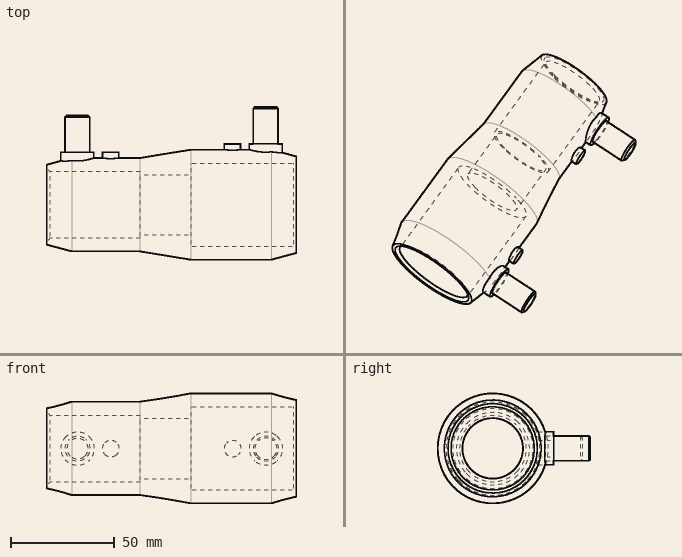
import cadquery as cq
import math

total_length = 120.0
small_radius = 22.5
large_radius = 26.5
wall = 6.5
bevel_length = 12.0
bevel_angle = 15.0
transition_start = 44.7
transition_end = 69.2

stop_radius = 14.5
mouth_chamfer = 1.5

stud_inset = 14.7
stud_radius = 6.0
stud_height = 20.5
small_stud_chamfer = 1.0
large_stud_chamfer = 0.75
collar_radius = 8.0
collar_height = 2.75
pin_radius = 4.0
pin_spacing = 16.0

bevel_drop = bevel_length * math.tan(math.radians(bevel_angle))
small_bore = small_radius - wall
large_bore = large_radius - wall


def revolve_about_x(profile):
    """Revolve a closed (x, y) profile a full turn about the X axis."""
    return cq.Workplane("XY").polyline(profile).close().revolve(360, (0, 0, 0), (1, 0, 0))


def sleeve_body():
    return revolve_about_x([
        (0, 0),
        (0, -(small_radius - bevel_drop)),
        (bevel_length, -small_radius),
        (transition_start, -small_radius),
        (transition_end, -large_radius),
        (total_length - bevel_length, -large_radius),
        (total_length, -(large_radius - bevel_drop)),
        (total_length, 0),
    ])


def bore():
    """Two chamfered sockets with a narrower stop between them."""
    return revolve_about_x([
        (0, 0),
        (0, -(small_bore + mouth_chamfer)),
        (mouth_chamfer, -small_bore),
        (transition_start, -small_bore),
        (transition_start, -stop_radius),
        (transition_end, -stop_radius),
        (transition_end, -large_bore),
        (total_length - mouth_chamfer, -large_bore),
        (total_length, -(large_bore + mouth_chamfer)),
        (total_length, 0),
    ])


def cylinder_along_y(x, radius, y_start, y_end):
    return cq.Workplane(cq.Solid.makeCylinder(
        radius, y_end - y_start, cq.Vector(x, y_start, 0), cq.Vector(0, 1, 0)))


def terminal(stud_x, pin_x, sleeve_radius, tip_chamfer):
    """Collared stud and a short indicator pin, both rooted inside the sleeve wall."""
    root = sleeve_radius - wall / 2
    collar_top = sleeve_radius + collar_height
    stud_top = sleeve_radius + stud_height
    stud = cylinder_along_y(stud_x, stud_radius, root, stud_top).faces(">Y").chamfer(tip_chamfer)
    collar = cylinder_along_y(stud_x, collar_radius, root, collar_top)
    pin = cylinder_along_y(pin_x, pin_radius, root, collar_top)
    return collar.union(stud).union(pin)


small_stud_x = stud_inset
large_stud_x = total_length - stud_inset

result = (
    sleeve_body()
    .union(terminal(small_stud_x, small_stud_x + pin_spacing, small_radius, small_stud_chamfer))
    .union(terminal(large_stud_x, large_stud_x - pin_spacing, large_radius, large_stud_chamfer))
    .cut(bore())
)